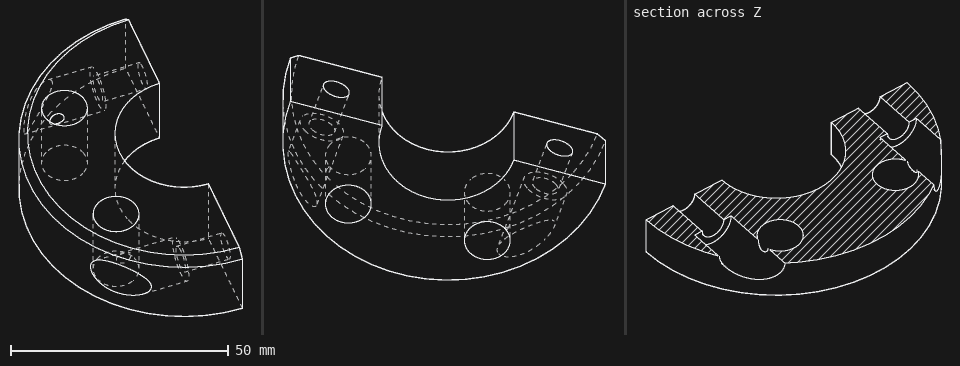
import math

import cadquery as cq

outer_radius = 38.0
bore_radius = 31.75 / 2
height = 20.0
top_chamfer = 2.0

vertical_hole_diameter = 10.5
hole_circle_radius = 28.5
hole_angle = math.radians(54)
vertical_hole_x = hole_circle_radius * math.cos(hole_angle)
vertical_hole_y = -hole_circle_radius * math.sin(hole_angle)

screw_x = (bore_radius + outer_radius) / 2
screw_z = height / 2
screw_diameter = 6.25
counterbore_diameter = 10.5
counterbore_floor_y = -11.0


def half_ring():
    """Ring with its outer top edge chamfered, cut down to the -Y half."""
    disc = cq.Workplane("XY").circle(outer_radius).extrude(height)
    disc = disc.faces(">Z").edges().chamfer(top_chamfer)
    bore = cq.Workplane("XY").circle(bore_radius).extrude(height)
    keep = (
        cq.Workplane("XY")
        .box(2 * outer_radius, outer_radius, height, centered=(True, False, False))
        .translate((0, -outer_radius, 0))
    )
    return disc.cut(bore).intersect(keep)


def vertical_hole():
    """Cutter for the vertical through hole on the +X side."""
    return (
        cq.Workplane("XY")
        .center(vertical_hole_x, vertical_hole_y)
        .circle(vertical_hole_diameter / 2)
        .extrude(height)
    )


def screw_hole():
    """Cutter for the +X screw hole, with its counterbore opening on the round side."""
    plane = cq.Workplane("XZ").center(screw_x, screw_z)
    shank = plane.circle(screw_diameter / 2).extrude(outer_radius)
    counterbore = (
        plane.workplane(offset=-counterbore_floor_y)
        .circle(counterbore_diameter / 2)
        .extrude(outer_radius + counterbore_floor_y)
    )
    return shank.union(counterbore)


result = half_ring()
for cutter in (vertical_hole(), screw_hole()):
    result = result.cut(cutter).cut(cutter.mirror("YZ"))